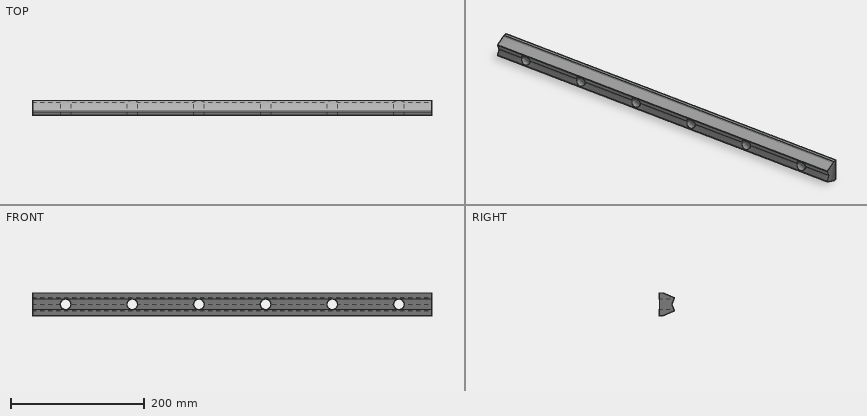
import cadquery as cq

length = 599.5
depth = 23.0
height = 35.0

edge_depth = 5.5
shoulder_depth = 7.0
shoulder_drop = 0.5
ridge_outer_width = 20.0
ridge_inner_width = 17.5
valley_depth = 3.5
groove_width = 16.0
groove_depth = 0.3

hole_count = 6
hole_pitch = 100.0
hole_diameter = 15.5

front_y = -depth / 2
back_y = depth / 2


def make_rail():
    """Extrude the symmetric cross-section along the rail."""
    upper_half = [
        (front_y + groove_depth, groove_width / 2),
        (front_y, groove_width / 2),
        (front_y, height / 2),
        (front_y + edge_depth, height / 2),
        (front_y + shoulder_depth, height / 2 - shoulder_drop),
        (back_y, ridge_outer_width / 2),
        (back_y, ridge_inner_width / 2),
    ]
    valley = (back_y - valley_depth, 0)
    lower_half = [(y, -z) for y, z in reversed(upper_half)]
    profile = cq.Workplane("YZ").polyline(upper_half + [valley] + lower_half).close()
    return profile.extrude(length / 2, both=True)


def make_holes():
    """Evenly spaced cylinders running front to back."""
    return (
        cq.Workplane("XZ")
        .rarray(hole_pitch, 6, hole_count, 1)
        .circle(hole_diameter / 2)
        .extrude(depth, both=True)
    )


result = make_rail().cut(make_holes())